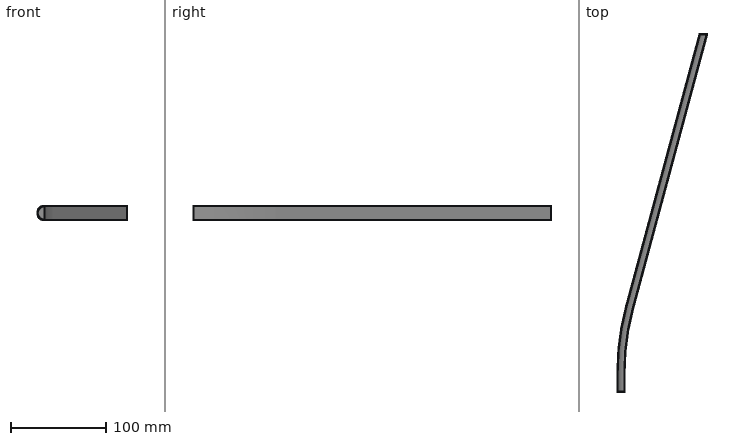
import cadquery as cq
import math

total_length = 375.0
section_radius = 7.5
short_leg = 21.5
flat_bend_radius = 250.0
bend_angle = math.radians(15.1)

bend_center_x = section_radius + flat_bend_radius


def point_on_bend(angle):
    """Point on the flat face after turning by the given angle."""
    return (
        bend_center_x - flat_bend_radius * math.cos(angle),
        short_leg + flat_bend_radius * math.sin(angle),
    )


bend_middle = point_on_bend(bend_angle / 2)
bend_end = point_on_bend(bend_angle)

trim_allowance = 2 * section_radius
path_end_y = total_length + trim_allowance
path_end_x = bend_end[0] + (path_end_y - bend_end[1]) * math.tan(bend_angle)

path = (
    cq.Workplane("XY")
    .moveTo(section_radius, 0)
    .lineTo(section_radius, short_leg)
    .threePointArc(bend_middle, bend_end)
    .lineTo(path_end_x, path_end_y)
)

section = (
    cq.Workplane("XZ")
    .moveTo(section_radius, -section_radius)
    .threePointArc((0, 0), (section_radius, section_radius))
    .close()
)
bent_bar = section.sweep(path)

trim_block = cq.Workplane("XY").box(
    path_end_x + trim_allowance,
    total_length,
    2 * section_radius,
    centered=(False, False, True),
)
result = bent_bar.intersect(trim_block)